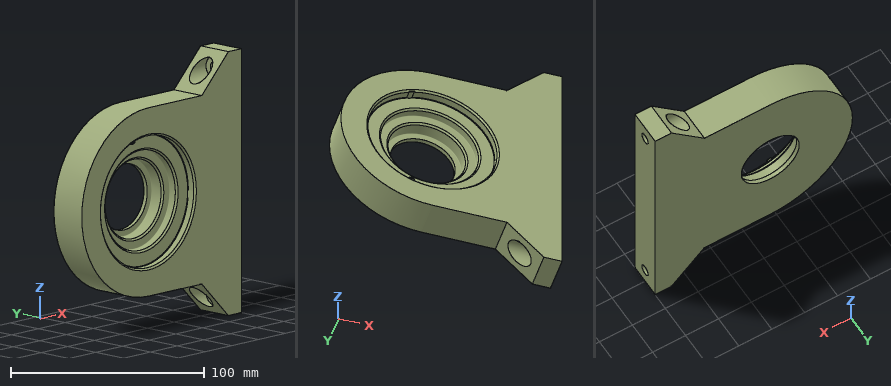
import cadquery as cq

length = 120.0
height = 140.0
thickness = 20.0

housing_radius = 50.0
foot_edge = 10.0
foot_flare = height / 2 - housing_radius
foot_face_x = length - housing_radius

bore_diameter = 35.0
bore_steps = [(70.0, 5.0), (53.0, 10.0), (42.0, 17.5)]
step_chamfer = 1.0
floor_fillet = 0.3

pin_diameter = 5.0
pin_length = bore_steps[0][1]
pin_x = -12.0
pin_z = 35.0

bolt_diameter = 6.0
bolt_head_diameter = 12.0
bolt_seat = 10.0
bolt_z = height / 2 - foot_flare / 2


def plate():
    flare_end_x = foot_face_x - foot_edge
    flare_start_x = flare_end_x - foot_flare
    return (
        cq.Workplane("XZ")
        .moveTo(0, housing_radius)
        .lineTo(flare_start_x, housing_radius)
        .lineTo(flare_end_x, height / 2)
        .lineTo(foot_face_x, height / 2)
        .lineTo(foot_face_x, -height / 2)
        .lineTo(flare_end_x, -height / 2)
        .lineTo(flare_start_x, -housing_radius)
        .lineTo(0, -housing_radius)
        .threePointArc((-housing_radius, 0), (0, housing_radius))
        .close()
        .extrude(-thickness)
    )


def revolve_about_bore(outline):
    return outline.close().revolve(360, (0, 0, 0), (0, 1, 0))


def stepped_bore():
    """Cutter for the bore, with a small fillet where each wall meets its floor."""
    outline = cq.Workplane("XY")
    mouth = 0
    for diameter, floor in bore_steps:
        radius = diameter / 2
        outline = (
            outline.lineTo(radius, mouth)
            .lineTo(radius, floor - floor_fillet)
            .tangentArcPoint((radius - floor_fillet, floor), relative=False)
        )
        mouth = floor
    outline = (
        outline.lineTo(bore_diameter / 2, mouth)
        .lineTo(bore_diameter / 2, thickness)
        .lineTo(0, thickness)
    )
    return revolve_about_bore(outline)


def mouth_chamfer(diameter, mouth):
    """Triangular ring that breaks the mouth edge and leaves the proud part of the pins standing."""
    radius = diameter / 2
    outline = (
        cq.Workplane("XY")
        .moveTo(radius, mouth)
        .lineTo(radius + step_chamfer, mouth)
        .lineTo(radius, mouth + step_chamfer)
    )
    return revolve_about_bore(outline)


def pin(z):
    return cq.Workplane("XZ").center(pin_x, z).circle(pin_diameter / 2).extrude(-pin_length)


def bolt_hole(z):
    """Clearance hole along X with a head counterbore opening on the sloped side."""
    seat = cq.Workplane("YZ", origin=(foot_face_x - bolt_seat, thickness / 2, z))
    shank = seat.circle(bolt_diameter / 2).extrude(bolt_seat)
    head = seat.circle(bolt_head_diameter / 2).extrude(-foot_flare)
    return shank.union(head)


result = plate().cut(stepped_bore())
for side in (1, -1):
    result = result.cut(bolt_hole(side * bolt_z))

for side in (1, -1):
    result = result.union(pin(side * pin_z), clean=False)

step_mouth = 0
for step_diameter, step_floor in bore_steps:
    result = result.cut(mouth_chamfer(step_diameter, step_mouth), clean=False)
    step_mouth = step_floor